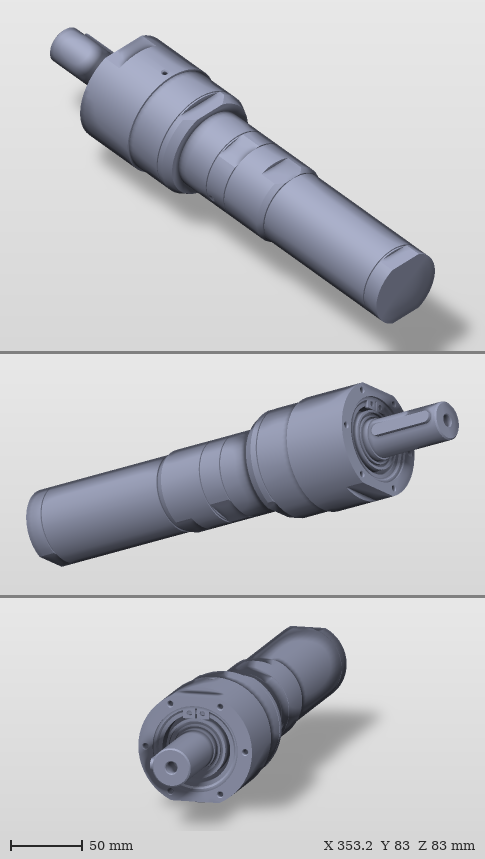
import cadquery as cq
import math

total_length = 353.2
shaft_dia = 28.0
collar_dia = 30.0
flange_dia = 83.0
housing_dia = 79.5
lock_end_dia = 72.8
neck_dia = 60.0
tube_dia = 56.0

shaft_chamfer = 1.0
collar_x = 59.7
flange_x = 61.8
flange_flat_end_x = 76.5
flange_end_x = 111.0
lock_x = 140.0
lock_taper_x = 144.5
neck_x = 151.0
clamp_x = 180.0
rear_sleeve_x = 198.0
wrench_x = 218.0
sleeve_taper_x = 231.7
tube_x = 236.3
tube_end_flat_x = 340.5

groove_width = 1.0
groove_depth = 1.0

flange_across_flats = 75.2
lock_across_flats = 69.0
wrench_across_flats = 54.5
tube_across_flats = 50.0
clamp_across_flats = 55.0
clamp_tilt = 15.0

recess_radius = 31.0
recess_depth = 1.8
clip_seat_radius = 27.5
seat_depth = 1.5
gap_outer_radius = 24.7
gap_inner_radius = 21.5
gap_depth = 14.0
seal_outer_radius = 19.8
seal_lip_outer_radius = 17.5
seal_lip_inner_radius = 16.2
seal_groove_depth = 2.0

lug_width = 19.0
lug_thickness = 2.0
lug_bottom_z = 21.5
lug_top_z = 29.3
lug_split = 1.5
lug_hole_dia = 4.0
lug_hole_spacing = 9.5
lug_hole_z = 25.5

key_start_x = 4.0
key_length = 51.0
key_width = 8.5
key_top = 16.5

center_thread_dia = 10.0
center_core_dia = 8.5
center_hole_depth = 21.2
bolt_thread_dia = 5.0
bolt_core_dia = 4.0
bolt_hole_depth = 10.5
bolt_circle_radius = 36.5
bolt_count = 6
port_thread_dia = 5.5
port_core_dia = 3.5
port_depth = 7.0
flange_port_x = 104.5
clamp_port_x = 184.5
drill_tip_angle = 118.0


def ring(x, length, outer_radius, inner_radius=0.0):
    """Cylinder or tube on the X axis, starting at station x."""
    body = cq.Workplane("YZ", origin=(x, 0, 0)).circle(outer_radius)
    if inner_radius > 0:
        body = body.circle(inner_radius)
    return body.extrude(length)


def cone_ring(x, length, start_radius, end_radius, inner_radius):
    """Revolved band with a straight sloping outer side and a round bore."""
    points = [(x, inner_radius), (x, start_radius), (x + length, end_radius), (x + length, inner_radius)]
    return cq.Workplane("XY").polyline(points).close().revolve(360, (0, 0, 0), (1, 0, 0))


def two_flats(x, length, across):
    """Material outside a pair of flats facing +Z and -Z."""
    block = flange_dia
    slab = cq.Workplane("XY").box(length, 2 * block, block, centered=(False, True, False))
    upper = slab.translate((x, 0, across / 2))
    return upper.union(upper.mirror("XY"))


def drilled_hole(thread_dia, core_dia, depth):
    """Drill shape along +X from the origin: countersunk mouth and pointed tip."""
    core = core_dia / 2
    countersink = (thread_dia - core_dia) / 2
    tip = core / math.tan(math.radians(drill_tip_angle / 2))
    outline = cq.Workplane("XY").polyline(
        [(0, 0), (0, thread_dia / 2), (countersink, core), (depth, core), (depth + tip, 0)]
    )
    return outline.close().revolve(360, (0, 0, 0), (1, 0, 0))


def turned_body():
    """Stepped outline of the whole spindle, revolved about X."""
    shaft = shaft_dia / 2
    neck = neck_dia / 2
    tube = tube_dia / 2
    points = [
        (0, 0),
        (0, shaft - shaft_chamfer),
        (shaft_chamfer, shaft),
        (collar_x, shaft),
        (collar_x, collar_dia / 2),
        (flange_x, collar_dia / 2),
        (flange_x, flange_dia / 2),
        (flange_end_x, flange_dia / 2),
        (flange_end_x, housing_dia / 2),
        (lock_taper_x, housing_dia / 2),
        (neck_x, lock_end_dia / 2),
        (neck_x, neck),
        (sleeve_taper_x, neck),
        (tube_x, tube),
        (total_length, tube),
        (total_length, 0),
    ]
    return cq.Workplane("XY").polyline(points).close().revolve(360, (0, 0, 0), (1, 0, 0))


def separation_grooves():
    """Narrow grooves that end just before each following part."""
    grooves = cq.Workplane("XY")
    seams = [
        (lock_x, housing_dia),
        (clamp_x, neck_dia),
        (rear_sleeve_x, neck_dia),
        (tube_x + groove_width, tube_dia),
        (tube_end_flat_x, tube_dia),
    ]
    for seam_x, dia in seams:
        cut = ring(seam_x - groove_width, groove_width, flange_dia, dia / 2 - groove_depth)
        grooves = grooves.union(cut)
    return grooves


def bearing_recess():
    """Stepped annular recess around the collar: sloped clip seat, deep gap and seal grooves."""
    floor_x = flange_x + recess_depth
    recess = ring(flange_x, recess_depth, recess_radius, collar_dia / 2)
    seat_mouth_radius = clip_seat_radius + seat_depth
    seat = cone_ring(floor_x, seat_depth, seat_mouth_radius, clip_seat_radius, gap_inner_radius)
    gap = ring(floor_x, gap_depth, gap_outer_radius, gap_inner_radius)
    seal = ring(floor_x, seal_groove_depth, seal_outer_radius, collar_dia / 2)
    seal = seal.cut(ring(floor_x, seal_groove_depth, seal_lip_outer_radius, seal_lip_inner_radius))
    return recess.union(seat).union(gap).union(seal)


def ring_lugs():
    """Pair of retaining ring lugs, each with a plier hole, at the top of the recess."""
    floor_x = flange_x + recess_depth
    middle_z = (lug_top_z + lug_bottom_z) / 2
    plane = cq.Workplane("YZ", origin=(floor_x, 0, middle_z))
    height = lug_top_z - lug_bottom_z
    hole_points = [(side * lug_hole_spacing / 2, lug_hole_z - middle_z) for side in (-1, 1)]
    lugs = plane.rect(lug_width, height).extrude(lug_thickness)
    split = plane.rect(lug_split, height).extrude(lug_thickness)
    holes = plane.pushPoints(hole_points).circle(lug_hole_dia / 2).extrude(lug_thickness)
    return lugs.cut(split).cut(holes)


def shaft_key():
    """Round-ended key standing out of the +Y side of the shaft."""
    middle_x = key_start_x + key_length / 2
    return (
        cq.Workplane("XZ", origin=(middle_x, 0, 0))
        .slot2D(key_length, key_width)
        .extrude(-key_top)
    )


def clamp_flats():
    """Pair of flats on the clamp section, turned about the axis."""
    length = rear_sleeve_x - groove_width - clamp_x
    flats = two_flats(clamp_x, length, clamp_across_flats)
    return flats.rotate((0, 0, 0), (1, 0, 0), clamp_tilt)


def radial_port(x, outer_radius, angle):
    """Radial hole entering from +Z, then turned about X by the given angle."""
    port = drilled_hole(port_thread_dia, port_core_dia, port_depth)
    port = port.rotate((0, 0, 0), (0, 1, 0), 90).translate((x, 0, outer_radius))
    return port.rotate((0, 0, 0), (1, 0, 0), angle)


result = turned_body()
result = result.cut(separation_grooves())
result = result.cut(bearing_recess())
result = result.union(ring_lugs())

result = result.cut(two_flats(flange_x, flange_flat_end_x - flange_x, flange_across_flats))
result = result.cut(two_flats(lock_x, neck_x - lock_x, lock_across_flats))
result = result.cut(two_flats(wrench_x, tube_x - wrench_x, wrench_across_flats))
result = result.cut(two_flats(tube_end_flat_x, total_length - tube_end_flat_x, tube_across_flats))
result = result.cut(clamp_flats())

result = result.union(shaft_key())

result = result.cut(drilled_hole(center_thread_dia, center_core_dia, center_hole_depth))
bolt_hole = drilled_hole(bolt_thread_dia, bolt_core_dia, bolt_hole_depth)
bolt_hole = bolt_hole.translate((flange_x, bolt_circle_radius, 0))
for index in range(bolt_count):
    result = result.cut(bolt_hole.rotate((0, 0, 0), (1, 0, 0), index * 360 / bolt_count))
result = result.cut(radial_port(flange_port_x, flange_dia / 2, 0))
result = result.cut(radial_port(clamp_port_x, neck_dia / 2, clamp_tilt + 90))